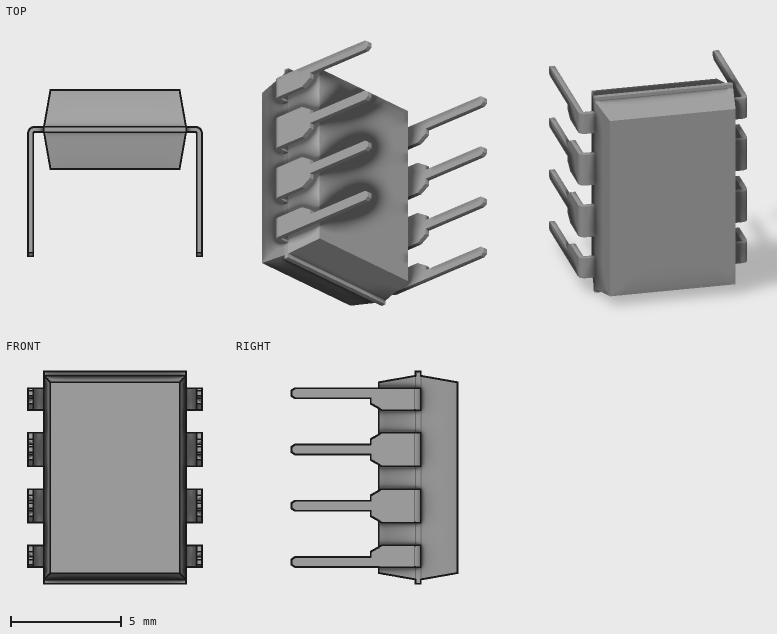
import cadquery as cq
import math


rim_length = 9.6
housing_width = 6.43
sheet_thickness = 0.24
half_depth = 1.67
draft_angle = 10.0
rim_overhang = 0.19
half_length = rim_length - 2 * rim_overhang

leads_per_row = 4
lead_pitch = 2.54
row_span = 7.87
lead_drop = 5.86
bend_inner_radius = 0.06
bend_outer_radius = bend_inner_radius + sheet_thickness
pin_width = 0.46
shoulder_width = 1.52
shoulder_drop = 2.27
shoulder_taper_drop = 0.5
shoulder_taper_inset = 0.29
tip_chamfer_drop = 0.17
tip_chamfer_inset = 0.12

rim_back = sheet_thickness / 2
rim_front = -sheet_thickness / 2
housing_side = housing_width / 2
row_outside = row_span / 2
row_inside = row_outside - sheet_thickness


def make_half(direction):
    """Drafted half of the housing, on the +Y (direction 1) or -Y (direction -1) side of the rim."""
    plane = cq.Plane(
        origin=(0, direction * sheet_thickness / 2, 0),
        xDir=(1, 0, 0),
        normal=(0, direction, 0),
    )
    return cq.Workplane(plane).rect(housing_width, half_length).extrude(half_depth, taper=draft_angle)


def make_housing():
    rim = cq.Workplane("XY").box(housing_width, sheet_thickness, rim_length)
    return rim.union(make_half(1)).union(make_half(-1))


def make_bent_strip():
    """L-shaped sheet of the +X row, as wide as a full shoulder and centred on Z = 0."""
    bend_x = row_outside - bend_outer_radius
    bend_y = rim_back - bend_outer_radius
    diagonal = math.sqrt(0.5)
    tip = rim_back - lead_drop
    return (
        cq.Workplane("XY")
        .workplane(offset=-shoulder_width / 2)
        .moveTo(housing_side, rim_back)
        .lineTo(bend_x, rim_back)
        .threePointArc(
            (bend_x + bend_outer_radius * diagonal, bend_y + bend_outer_radius * diagonal),
            (row_outside, bend_y),
        )
        .lineTo(row_outside, tip)
        .lineTo(row_inside, tip)
        .lineTo(row_inside, bend_y)
        .threePointArc(
            (bend_x + bend_inner_radius * diagonal, bend_y + bend_inner_radius * diagonal),
            (bend_x, rim_front),
        )
        .lineTo(housing_side, rim_front)
        .close()
        .extrude(shoulder_width)
    )


def edge_points(side, has_shoulder):
    """(y, z) points along one long edge of a lead, from the rim to the tip; side is 1 for +Z, -1 for -Z."""
    pin_edge = pin_width / 2
    shoulder_edge = shoulder_width / 2
    shoulder_end = rim_back - shoulder_drop
    tip = rim_back - lead_drop
    tip_points = [
        (tip + tip_chamfer_drop, side * pin_edge),
        (tip, side * (pin_edge - tip_chamfer_inset)),
    ]
    if not has_shoulder:
        return [(rim_back, side * pin_edge)] + tip_points
    return [
        (rim_back, side * shoulder_edge),
        (shoulder_end + shoulder_taper_drop, side * shoulder_edge),
        (shoulder_end, side * (shoulder_edge - shoulder_taper_inset)),
        (shoulder_end, side * pin_edge),
    ] + tip_points


def make_lead(index, row):
    """Lead number index, counted from -Z, in the +X (row 1) or -X (row -1) row.

    The end leads have no shoulder on the side facing the end of the housing.
    """
    lower_edge = edge_points(-1, has_shoulder=index > 0)
    upper_edge = edge_points(1, has_shoulder=index < leads_per_row - 1)
    face = (
        cq.Workplane("YZ")
        .polyline(lower_edge + upper_edge[::-1])
        .close()
        .extrude(row_outside)
    )
    lead = make_bent_strip().intersect(face)
    if row < 0:
        lead = lead.mirror("YZ")
    return lead.translate((0, 0, (index - (leads_per_row - 1) / 2) * lead_pitch))


housing = make_housing()
leads = [make_lead(index, row) for row in (-1, 1) for index in range(leads_per_row)]

result = cq.Compound.makeCompound([housing.val(), *[lead.val() for lead in leads]])